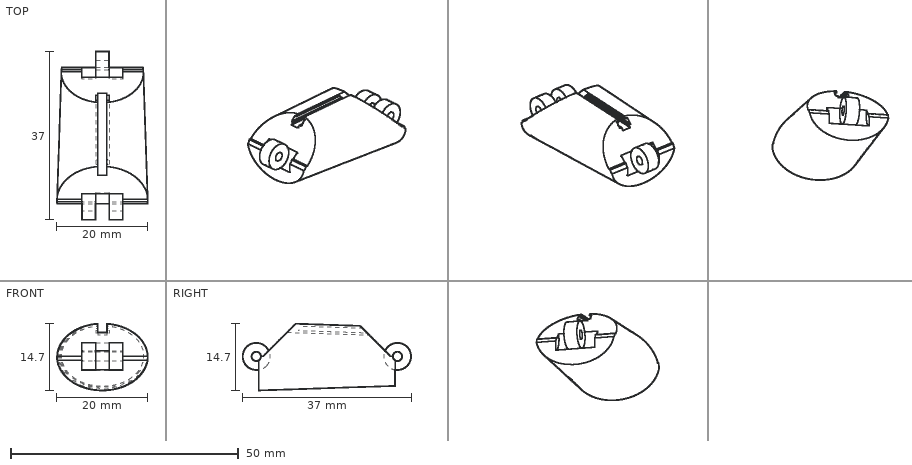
import cadquery as cq
import math

body_length = 30.0
front_y = -body_length / 2
front_half_width, front_half_height = 20.0 / 2, 7.5
back_half_width, back_half_height = 18.0 / 2, 6.5

total_length = 37.0
knuckle_radius = 3.0
knuckle_width = 3.0
hinge_y = total_length / 2 - knuckle_radius
pin_hole_radius = 1.0

ledge_depth = 1.0

slot_width = 2.0
slot_depth = 2.0
undercut_width = 3.0
undercut_height = 1.0
undercut_rise = 0.48
undercut_front_wall = 2.0

taper_angle = math.degrees(math.atan((front_half_height - back_half_height) / body_length))


def x_cylinder(y, radius, x_center, width):
    """Cylinder along X at mid height."""
    return (
        cq.Workplane("YZ", origin=(x_center - width / 2, 0, 0))
        .center(y, 0)
        .circle(radius)
        .extrude(width)
    )


def tapered_body():
    return (
        cq.Workplane("XZ", origin=(0, front_y, 0))
        .ellipse(front_half_width, front_half_height)
        .workplane(offset=-body_length)
        .ellipse(back_half_width, back_half_height)
        .loft(ruled=True)
    )


def end_wedge(end):
    """Material above a 45 degree slope; end is -1 for the front, 1 for the back."""
    foot_y = end * (body_length / 2 - ledge_depth)
    reach = 2 * front_half_height
    return (
        cq.Workplane("YZ", origin=(-front_half_width, 0, 0))
        .polyline([
            (foot_y, 0),
            (foot_y - end * reach, reach),
            (foot_y + end * reach, reach),
            (foot_y + end * reach, 0),
        ])
        .close()
        .extrude(2 * front_half_width)
    )


def add_hinge(body, end, knuckle_centers, gap_centers):
    y = end * hinge_y
    for x in gap_centers:
        body = body.cut(x_cylinder(y, knuckle_radius, x, knuckle_width))
    for x in knuckle_centers:
        body = body.union(x_cylinder(y, knuckle_radius, x, knuckle_width))
    return body.cut(x_cylinder(y, pin_hole_radius, 0, 2 * front_half_width))


def slot_box(width, depth, height):
    """Full-length channel parallel to the top ridge, its floor at depth below the ridge."""
    return (
        cq.Workplane("XY")
        .box(width, body_length, height, centered=(True, False, False))
        .translate((0, 0, -depth))
        .rotate((0, 0, 0), (1, 0, 0), -taper_angle)
        .translate((0, front_y, front_half_height))
    )


body = tapered_body().cut(end_wedge(-1)).cut(end_wedge(1))
side_positions = [-knuckle_width, knuckle_width]
body = add_hinge(body, -1, side_positions, [0])
body = add_hinge(body, 1, [0], side_positions)
body = body.cut(slot_box(slot_width, slot_depth, 2 * slot_depth))

undercut = slot_box(undercut_width, slot_depth - undercut_rise, undercut_height)
undercut = undercut.cut(end_wedge(-1).translate((0, undercut_front_wall, 0)))
result = body.cut(undercut)